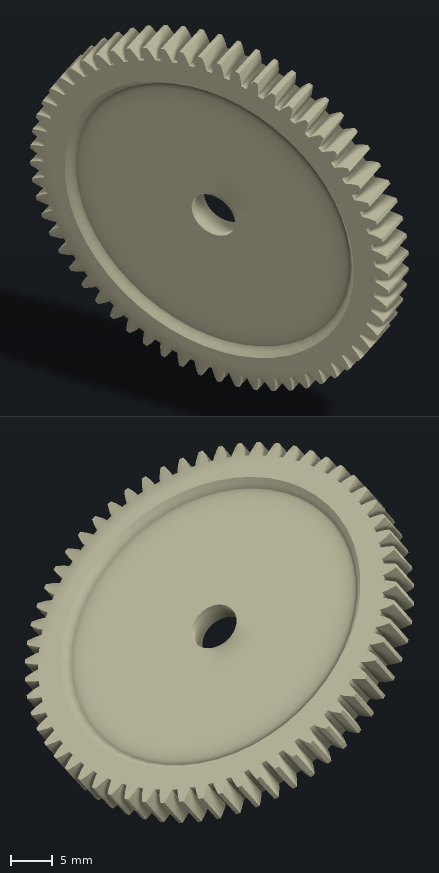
import cadquery as cq
import math

tooth_count = 60
pitch_radius = 24.0
module = 2 * pitch_radius / tooth_count
root_radius = 23.0
backlash = 0.08
overall_size = 49.55
pressure_angle = math.radians(20)
face_width = 5.0

recess_mouth_radius = 20.0
recess_floor_radius = 19.0
recess_depth = 1.0

bore_diameter = 6.0

flank_points = 5
base_radius = pitch_radius * math.cos(pressure_angle)


def involute(angle):
    return math.tan(angle) - angle


def half_tooth_angle(radius):
    """Angle from the tooth centre line to its flank at a given radius."""
    at_pitch = math.pi / (2 * tooth_count) - backlash / (2 * pitch_radius)
    local_pressure_angle = math.acos(base_radius / radius)
    return at_pitch + involute(pressure_angle) - involute(local_pressure_angle)


def polar(radius, angle):
    return (radius * math.cos(angle), radius * math.sin(angle))


tooth_pitch_angle = 2 * math.pi / tooth_count
nominal_tip_radius = pitch_radius + module
tip_corner_angle = tooth_pitch_angle / 2 - half_tooth_angle(nominal_tip_radius)
tip_radius = overall_size / 2 / math.cos(tip_corner_angle)


def add_tooth(outline, center_angle):
    """Draw one tooth from its root corner, then the root arc to the next tooth."""
    flank_radii = [
        root_radius + (tip_radius - root_radius) * i / (flank_points - 1)
        for i in range(flank_points)
    ]
    rising = [polar(r, center_angle - half_tooth_angle(r)) for r in flank_radii]
    falling = [polar(r, center_angle + half_tooth_angle(r)) for r in reversed(flank_radii)]
    next_center = center_angle + tooth_pitch_angle
    next_root = polar(root_radius, next_center - half_tooth_angle(root_radius))
    gap_middle = polar(root_radius, center_angle + tooth_pitch_angle / 2)

    outline = outline.spline(rising[1:], includeCurrent=True)
    outline = outline.threePointArc(polar(tip_radius, center_angle), falling[0])
    outline = outline.spline(falling[1:], includeCurrent=True)
    return outline.threePointArc(gap_middle, next_root)


def make_gear_blank():
    first_center = tooth_pitch_angle / 2
    start = polar(root_radius, first_center - half_tooth_angle(root_radius))
    outline = cq.Workplane("XZ", origin=(0, face_width / 2, 0)).moveTo(*start)
    for i in range(tooth_count):
        outline = add_tooth(outline, first_center + i * tooth_pitch_angle)
    return outline.close().extrude(face_width)


def make_recess(side):
    """Recess in one face: side is -1 for the -Y face and +1 for the +Y face."""
    mouth = side * face_width / 2
    floor = side * (face_width / 2 - recess_depth)
    profile = [
        (0, mouth),
        (recess_mouth_radius, mouth),
        (recess_floor_radius, floor),
        (0, floor),
    ]
    return cq.Workplane("XY").polyline(profile).close().revolve(360, (0, 0), (0, 1))


def make_bore():
    plane = cq.Workplane("XZ", origin=(0, face_width / 2, 0))
    return plane.circle(bore_diameter / 2).extrude(face_width)


result = make_gear_blank()
for side in (-1, 1):
    result = result.cut(make_recess(side))
result = result.cut(make_bore())